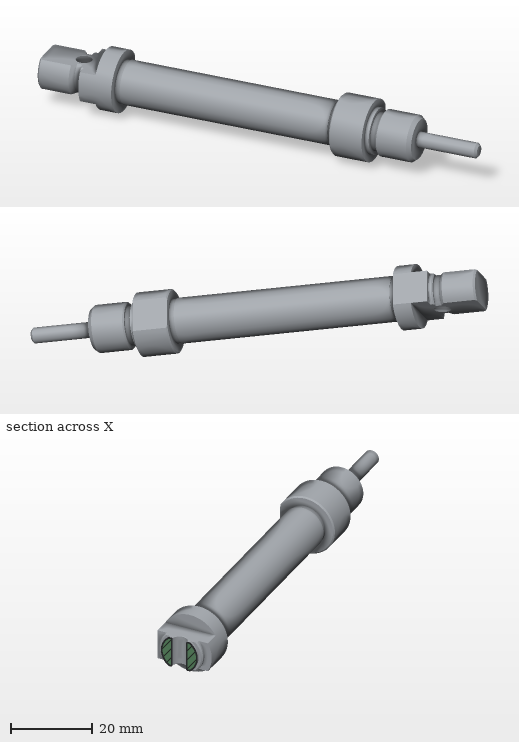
import cadquery as cq


total_length = 116.0
flange_radius = 16.0 / 2
flange_flat_y = 7.0
nose_radius = 12.0 / 2
relief_radius = 9.9 / 2
neck_radius = 11.0 / 2
neck_length = 1.3
barrel_radius = 11.4 / 2
barrel_length = 55.7

rear_chamfer = 0.5
rear_relief_start = 8.5
rear_relief_end = 10.9
rear_relief_chamfer = 0.3
rear_flange_start = 12.0
rear_flange_end = 20.8
eye_half_thickness = 8.0 / 2
eye_length = 16.1
pin_hole_x = 10.1
pin_hole_diameter = 4.1
pin_hole_chamfer = 0.1

front_flange_length = 8.9
front_flange_chamfer = 0.3
collar_length = 1.0
front_relief_length = 1.6
front_nose_length = 9.4
front_nose_back_chamfer = 0.3
front_nose_chamfer_length = 1.0
front_nose_chamfer_depth = 0.8

rod_radius = 4.0 / 2
rod_chamfer = 0.6

barrel_start = rear_flange_end + neck_length
barrel_end = barrel_start + barrel_length
front_flange_start = barrel_end + neck_length
front_flange_end = front_flange_start + front_flange_length
collar_end = front_flange_end + collar_length
front_nose_start = collar_end + front_relief_length
front_cap_end = front_nose_start + front_nose_length


def turn(profile):
    """Revolve a list of (x, radius) points about the X axis."""
    start_x = profile[0][0]
    end_x = profile[-1][0]
    outline = [(start_x, 0), *profile, (end_x, 0)]
    return cq.Workplane("XY").polyline(outline).close().revolve(360, (0, 0, 0), (1, 0, 0))


def cut_flange_flat(cap, start_x, end_x):
    """Remove everything beyond the flat on the +Y side of a flange."""
    waste = cq.Workplane("XY").box(
        end_x - start_x, flange_radius, 2 * flange_radius, centered=(False, False, True)
    )
    return cap.cut(waste.translate((start_x, flange_flat_y, 0)))


def cut_eye_flats(cap):
    """Mill the rear of the cap down to two parallel flats."""
    waste = cq.Workplane("XY").box(
        eye_length, 2 * flange_radius, flange_radius, centered=(False, True, False)
    )
    upper = waste.translate((0, 0, eye_half_thickness))
    lower = waste.translate((0, 0, -eye_half_thickness - flange_radius))
    return cap.cut(upper).cut(lower)


def cut_pin_hole(cap):
    """Drill the pivot hole through both flats and chamfer its two rims."""
    radius = pin_hole_diameter / 2
    rim_radius = radius + pin_hole_chamfer
    chamfer_z = eye_half_thickness - pin_hole_chamfer
    outline = [
        (0, -eye_half_thickness),
        (rim_radius, -eye_half_thickness),
        (radius, -chamfer_z),
        (radius, chamfer_z),
        (rim_radius, eye_half_thickness),
        (0, eye_half_thickness),
    ]
    drill = cq.Workplane("XZ").polyline(outline).close().revolve(360, (0, 0, 0), (0, 1, 0))
    return cap.cut(drill.translate((pin_hole_x, 0, 0)))


def make_rear_cap():
    relief_depth = nose_radius - relief_radius
    cap = turn([
        (0, nose_radius - rear_chamfer),
        (rear_chamfer, nose_radius),
        (rear_relief_start, nose_radius),
        (rear_relief_start + relief_depth, relief_radius),
        (rear_relief_end, relief_radius),
        (rear_relief_end, nose_radius - rear_relief_chamfer),
        (rear_relief_end + rear_relief_chamfer, nose_radius),
        (rear_flange_start, nose_radius),
        (rear_flange_start, flange_radius),
        (rear_flange_end, flange_radius),
        (rear_flange_end, neck_radius),
        (barrel_start, neck_radius),
    ])
    cap = cut_flange_flat(cap, rear_flange_start, rear_flange_end)
    cap = cut_eye_flats(cap)
    return cut_pin_hole(cap)


def make_barrel():
    return turn([(barrel_start, barrel_radius), (barrel_end, barrel_radius)])


def make_front_cap():
    cap = turn([
        (barrel_end, neck_radius),
        (front_flange_start, neck_radius),
        (front_flange_start, flange_radius - front_flange_chamfer),
        (front_flange_start + front_flange_chamfer, flange_radius),
        (front_flange_end, flange_radius),
        (front_flange_end, nose_radius),
        (collar_end, nose_radius),
        (collar_end, relief_radius),
        (front_nose_start, relief_radius),
        (front_nose_start, nose_radius - front_nose_back_chamfer),
        (front_nose_start + front_nose_back_chamfer, nose_radius),
        (front_cap_end - front_nose_chamfer_length, nose_radius),
        (front_cap_end, nose_radius - front_nose_chamfer_depth),
    ])
    return cut_flange_flat(cap, front_flange_start, front_flange_end)


def make_rod():
    return turn([
        (front_cap_end, rod_radius),
        (total_length - rod_chamfer, rod_radius),
        (total_length, rod_radius - rod_chamfer),
    ])


rear_cap = make_rear_cap()
barrel = make_barrel()
front_cap = make_front_cap()
rod = make_rod()

result = cq.Compound.makeCompound([rear_cap.val(), barrel.val(), front_cap.val(), rod.val()])